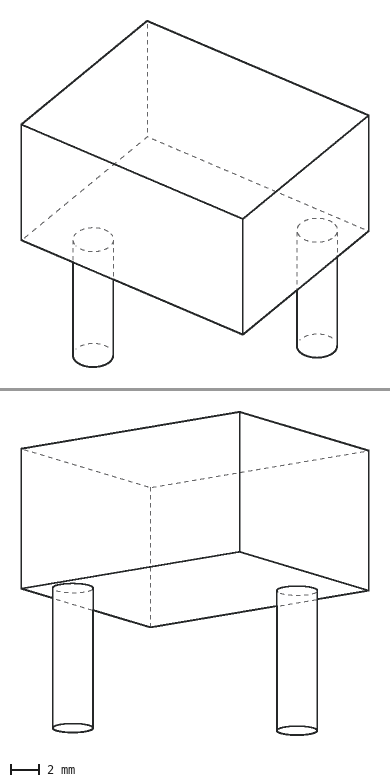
import cadquery as cq

body_length = 19.0
body_width = 15.0
body_height = 10.0

pin_diameter = 2.82
pin_length = 10.0
first_pin = (4.0, 3.0)
pin_spacing_x = 12.0
pin_spacing_y = 10.0
second_pin = (first_pin[0] + pin_spacing_x, first_pin[1] + pin_spacing_y)

body = cq.Workplane("XY").box(body_length, body_width, body_height, centered=False)

pins = (
    cq.Workplane("XY")
    .pushPoints([first_pin, second_pin])
    .circle(pin_diameter / 2)
    .extrude(-pin_length)
)

result = body.union(pins)